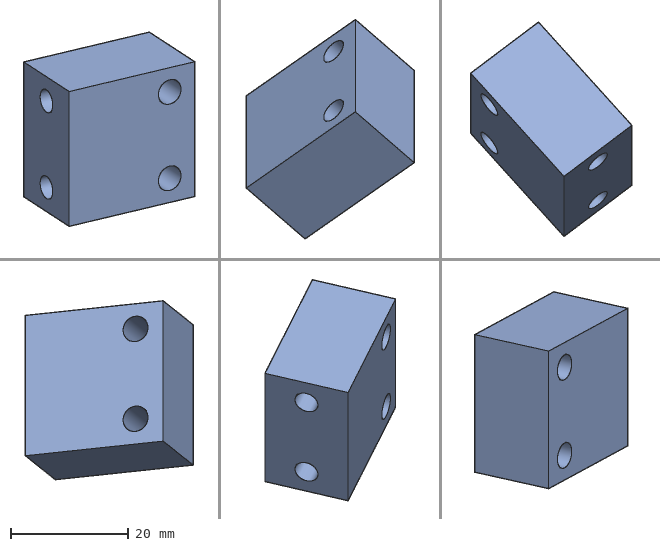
import cadquery as cq

width = 15.0
depth = 25.0
height = 25.0

hole_inset = 4.5
hole_spacing = height - 2 * hole_inset

cross_hole_diameter = 4.5
cross_hole_inset = 5.0

blind_hole_diameter = 4.12
blind_hole_depth = 12.5


def stacked_pair(plane, diameter, length):
    """Two cylinders, one above the other, starting on the given plane."""
    return (
        cq.Workplane(plane)
        .rarray(0.25, hole_spacing, 1, 2)
        .circle(diameter / 2)
        .extrude(length)
    )


block = cq.Workplane("XY").box(width, depth, height)

cross_hole_y = depth / 2 - cross_hole_inset
cross_plane = cq.Plane(origin=(-width / 2, cross_hole_y, 0), xDir=(0, 1, 0), normal=(1, 0, 0))
cross_holes = stacked_pair(cross_plane, cross_hole_diameter, width)

front_plane = cq.Plane(origin=(0, -depth / 2, 0), xDir=(-1, 0, 0), normal=(0, 1, 0))
blind_holes = stacked_pair(front_plane, blind_hole_diameter, blind_hole_depth)

result = block.cut(cross_holes).cut(blind_holes)